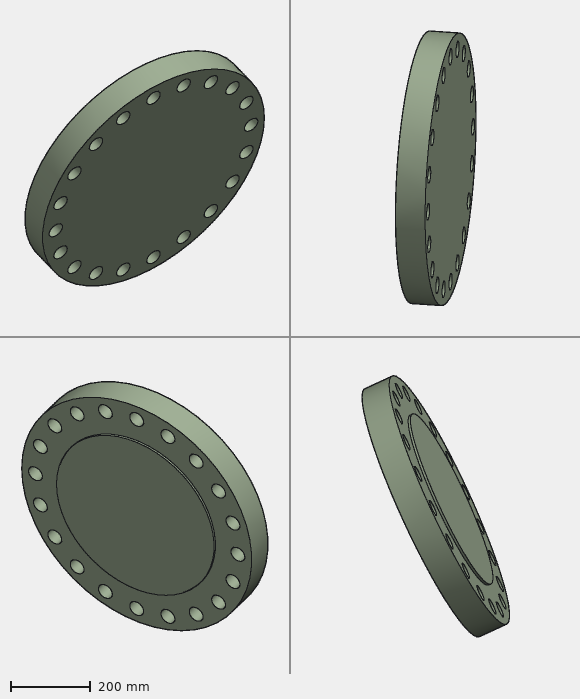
import cadquery as cq

flange_diameter = 686.0
total_thickness = 82.0
face_diameter = 470.0
face_height = 6.4
bolt_circle_diameter = 603.5
bolt_hole_diameter = 41.0
bolt_hole_count = 20

disc_thickness = total_thickness - face_height


def make_disc():
    """Main disc, from X = 0 to its plain back at +X."""
    return cq.Workplane("YZ").circle(flange_diameter / 2).extrude(disc_thickness)


def make_raised_face():
    """Sealing face standing proud of the disc toward -X."""
    return cq.Workplane("YZ").circle(face_diameter / 2).extrude(-face_height)


def make_bolt_holes():
    """Evenly spaced through-holes, the first one on the Y axis."""
    return (
        cq.Workplane("YZ")
        .polarArray(bolt_circle_diameter / 2, 0, 360, bolt_hole_count)
        .circle(bolt_hole_diameter / 2)
        .extrude(disc_thickness)
    )


result = make_disc().union(make_raised_face()).cut(make_bolt_holes())